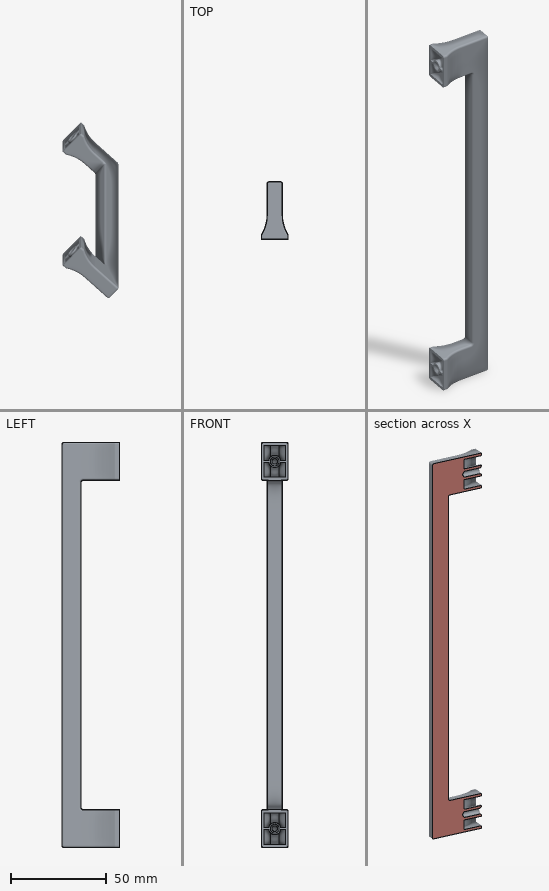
import cadquery as cq
import math

length = 212.0
depth = 30.0
foot_width = 14.0

bar_width = 8.0
bar_depth = 10.0
foot_length = 20.0
edge_radius = 1.0

flare_length = 12.7
lip_depth = 2.3

pocket_length = 16.5
pocket_depth = 10.5
pocket_mouth_width = 11.0
pocket_neck_width = 4.2

screw_spacing = 192.0
boss_diameter = 6.4
rib_thickness = 1.0
countersink_diameter = 4.7
countersink_angle = 90.0
hole_diameter = 3.0
hole_depth = 10.5
drill_tip_angle = 118.0

tolerance = 0.02

front = -depth / 2
back = depth / 2
lip_start = front + lip_depth
flare_start = front + flare_length


def flared_outline(neck_width, mouth_width, end_y):
    """XY outline from the front to end_y: straight lips, then arcs that meet the neck along Y.

    The neck begins at flare_start; an end_y short of it cuts the arcs off there.
    """
    neck = neck_width / 2
    mouth = mouth_width / 2
    run = flare_start - lip_start
    rise = mouth - neck
    radius = (run**2 + rise**2) / (2 * rise)

    def half_width(y):
        return neck + radius - math.sqrt(radius**2 - (flare_start - y) ** 2)

    arc_end_y = min(end_y, flare_start)
    arc_end = half_width(arc_end_y)
    middle_y = (lip_start + arc_end_y) / 2
    middle = half_width(middle_y)
    outline = (
        cq.Workplane("XY")
        .moveTo(-mouth, front)
        .lineTo(mouth, front)
        .lineTo(mouth, lip_start)
        .threePointArc((middle, middle_y), (arc_end, arc_end_y))
    )
    if end_y > arc_end_y:
        outline = outline.lineTo(neck, end_y).lineTo(-neck, end_y)
    return (
        outline.lineTo(-arc_end, arc_end_y)
        .threePointArc((-middle, middle_y), (-mouth, lip_start))
        .close()
    )


def is_rounded(edge):
    """True for all edges but the rims at the front and the smooth lines where the flare starts."""
    box = edge.BoundingBox()
    on_front = box.ymax < front + tolerance
    at_flare_start = abs(box.ymin - flare_start) < tolerance and box.ylen < tolerance
    return not on_front and not at_flare_start


def handle_body():
    flared = flared_outline(bar_width, foot_width, back).extrude(length / 2, both=True)
    gap = cq.Workplane("XY").box(foot_width, depth, length - 2 * foot_length)
    body = flared.cut(gap.translate((0, -bar_depth, 0)))
    return body.edges().filter(is_rounded).fillet(edge_radius)


def screw_hole():
    """Countersunk blind hole with a conical end, about Y."""
    radius = hole_diameter / 2
    sink_radius = countersink_diameter / 2
    sink_depth = (sink_radius - radius) / math.tan(math.radians(countersink_angle / 2))
    tip_depth = radius / math.tan(math.radians(drill_tip_angle / 2))
    return (
        cq.Workplane("XY")
        .moveTo(0, front)
        .lineTo(sink_radius, front)
        .lineTo(radius, front + sink_depth)
        .lineTo(radius, front + hole_depth)
        .lineTo(0, front + hole_depth + tip_depth)
        .close()
        .revolve(360, (0, 0), (0, 1))
    )


def pocket():
    """Hollow of one foot, leaving a boss with a rib to either side, and the screw hole in the boss."""
    outline = flared_outline(pocket_neck_width, pocket_mouth_width, front + pocket_depth)
    hollow = outline.extrude(pocket_length / 2, both=True)
    boss = cq.Workplane("XZ", origin=(0, front, 0)).circle(boss_diameter / 2).extrude(-pocket_depth)
    ribs = cq.Workplane("XY").box(foot_width, depth, rib_thickness)
    return hollow.cut(boss).cut(ribs).union(screw_hole())


result = handle_body()
for screw_z in (-screw_spacing / 2, screw_spacing / 2):
    result = result.cut(pocket().translate((0, 0, screw_z)))